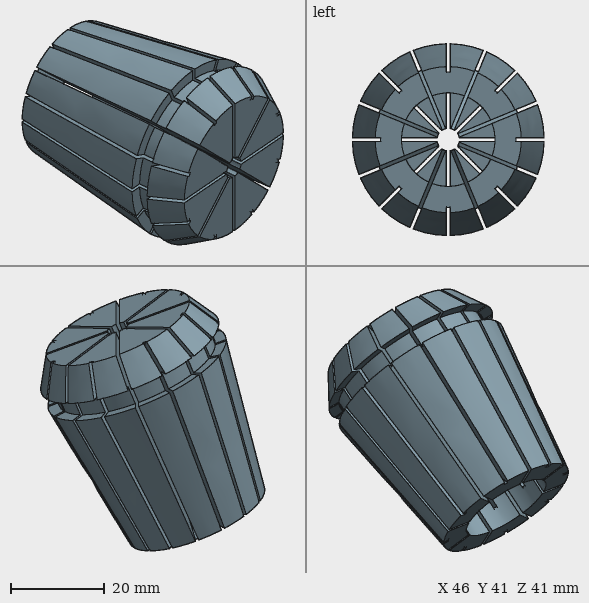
import cadquery as cq
import math

length = 46.0
max_diameter = 41.0
body_length = 34.8
head_start = 39.0
body_angle = 8.0
head_angle = 30.0
groove_diameter = 36.0

bore_diameter = 19.95
bore_depth = 29.9
hole_diameter = 4.8

slot_width = 0.8
slots_per_end = 8
slot_pitch = 360 / slots_per_end
floor_curve_radius = 40.0
nose_floor_radius = 14.5
head_floor_radius = 15.85

max_radius = max_diameter / 2
nose_radius = max_radius - body_length * math.tan(math.radians(body_angle))
head_end_radius = max_radius - (length - head_start) * math.tan(math.radians(head_angle))
groove_radius = groove_diameter / 2
bore_radius = bore_diameter / 2
hole_radius = hole_diameter / 2
clearance = 4.6


def turned_body():
    """Revolve the outer profile and the stepped bore about the X axis."""
    profile = [
        (0, bore_radius),
        (0, nose_radius),
        (body_length, max_radius),
        (body_length, groove_radius),
        (head_start, groove_radius),
        (head_start, max_radius),
        (length, head_end_radius),
        (length, hole_radius),
        (bore_depth, hole_radius),
        (bore_depth, bore_radius),
    ]
    return cq.Workplane("XY").polyline(profile).close().revolve(360, (0, 0), (1, 0))


def slot_cutter(closed_x, open_x, face_radius, opening_radius):
    """Slot running out at its closed end in a curved floor, drawn as (x, radius).

    The floor's chord slopes at 45 degrees from face_radius on the closed end face
    to just inside the bore or hole there, so no sliver is left at the slot walls.
    """
    inward = math.copysign(1, open_x - closed_x)
    inner_radius = opening_radius - slot_width / 2
    chord_run = face_radius - inner_radius
    half_chord = chord_run / math.sqrt(2)
    sag = floor_curve_radius - math.sqrt(floor_curve_radius**2 - half_chord**2)
    sag_step = sag / math.sqrt(2)

    floor_middle = (
        closed_x + inward * (chord_run / 2 - sag_step),
        (face_radius + inner_radius) / 2 - sag_step,
    )
    floor_inner_end = (closed_x + inward * chord_run, inner_radius)
    outer_reach = max_radius + clearance
    open_end_x = open_x + inward * clearance

    outline = (
        cq.Workplane("XY")
        .moveTo(closed_x, face_radius)
        .threePointArc(floor_middle, floor_inner_end)
        .lineTo(floor_inner_end[0], 0)
        .lineTo(open_end_x, 0)
        .lineTo(open_end_x, outer_reach)
        .lineTo(closed_x - inward * clearance, outer_reach)
        .lineTo(closed_x - inward * clearance, face_radius)
        .close()
    )
    return outline.extrude(slot_width / 2, both=True)


def turned(cutter, angle):
    """Turn a cutter about the collet axis."""
    return cutter.rotate((0, 0, 0), (1, 0, 0), angle)


head_slot = slot_cutter(0, length, nose_floor_radius, bore_radius)
nose_slot = slot_cutter(length, 0, head_floor_radius, hole_radius)

result = turned_body()
for index in range(slots_per_end):
    result = result.cut(turned(head_slot, index * slot_pitch))
    result = result.cut(turned(nose_slot, (index + 0.5) * slot_pitch))